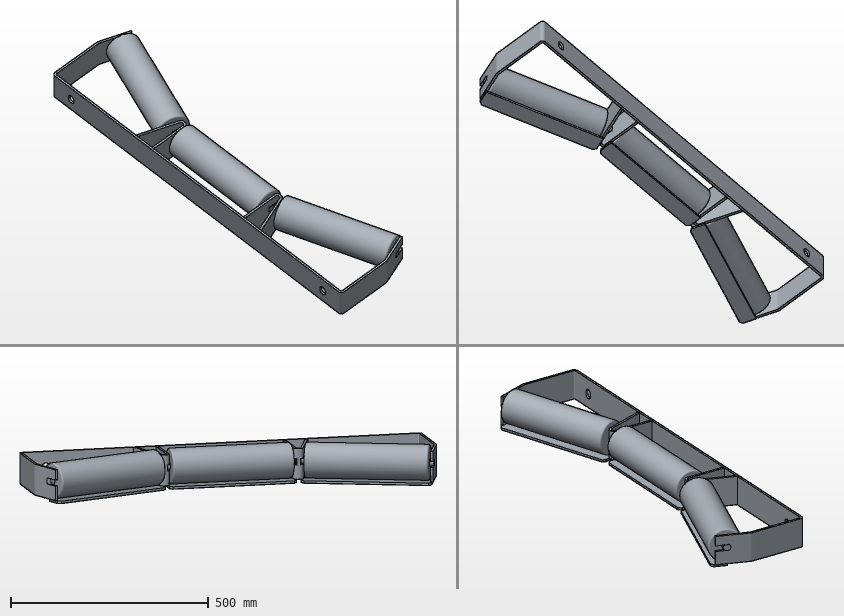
import cadquery as cq
import math

FRAME_LENGTH = 1050.0
STRIP_HEIGHT = 80.0
STRIP_THICKNESS = 6.0
BEND_RADIUS = 6.0
KNEE_RADIUS = 16.0
TROUGH_ANGLE = 20.0

ROLLER_DIAMETER = 91.0
ROLLER_LENGTH = 316.0
ROLLER_EDGE_ROUNDING = 4.0
SHAFT_DIAMETER = 20.0
SHAFT_FLAT_WIDTH = 16.0

SUPPORT_SPACING = 332.0
MIDDLE_ROLLER_Y = 100.0
OUTER_ROLLER_X = 344.0
OUTER_ROLLER_Y = 162.0
ARM_RISE = 29.0
BRACKET_TOP_Y = 123.0

MOUNTING_HOLE_X = 457.0
MOUNTING_HOLE_Z = 38.0
MOUNTING_HOLE_WIDTH = 19.0
MOUNTING_HOLE_HEIGHT = 25.0

PLATE_THICKNESS = 6.0
PLATE_FRONT = -2.0
PLATE_BACK = 41.0
PLATE_CORNER = 7.0

AXIS_Z = ROLLER_DIAMETER / 2
SUPPORT_OFFSET = SUPPORT_SPACING / 2
SHAFT_LENGTH = SUPPORT_SPACING + STRIP_THICKNESS
TILT_SIN = math.sin(math.radians(TROUGH_ANGLE))
TILT_COS = math.cos(math.radians(TROUGH_ANGLE))
TILT_TAN = TILT_SIN / TILT_COS

ROLLER_PLACES = [
    (-OUTER_ROLLER_X, OUTER_ROLLER_Y, -TROUGH_ANGLE),
    (0, MIDDLE_ROLLER_Y, 0),
    (OUTER_ROLLER_X, OUTER_ROLLER_Y, TROUGH_ANGLE),
]


def place(body, x, y, angle):
    """Turn a body built around the origin about Z, then move it to its roller position."""
    return body.rotate((0, 0, 0), (0, 0, 1), angle).translate((x, y, 0))


def mirrored(points):
    """Continue a run of points on -X with its mirror image on +X."""
    return points + [(-x, y) for x, y in reversed(points)]


def bent_strip(points, bend_radii):
    """Strip standing on Z = 0 whose middle follows the points, with one radius per bend."""
    middle = STRIP_HEIGHT / 2
    path = cq.Wire.makePolygon([cq.Vector(x, y, middle) for x, y in points])
    for (x, y), radius in zip(points[1:-1], bend_radii):
        corner = min(path.Vertices(), key=lambda v: math.hypot(v.X - x, v.Y - y))
        path = path.fillet(radius, [corner])
    start = cq.Plane(origin=path.startPoint(), xDir=(0, 0, 1), normal=path.tangentAt(0))
    return cq.Workplane(start).rect(STRIP_HEIGHT, STRIP_THICKNESS).sweep(cq.Workplane(path))


def rod(diameter, length):
    """Round bar on the roller axis, centred on the origin along X."""
    return cq.Workplane("YZ", origin=(-length / 2, 0, AXIS_Z)).circle(diameter / 2).extrude(length)


def flattened_shaft():
    """Full-length shaft with a flat above and a flat below."""
    flats = cq.Workplane("XY", origin=(0, 0, AXIS_Z)).box(SHAFT_LENGTH, SHAFT_DIAMETER, SHAFT_FLAT_WIDTH)
    return rod(SHAFT_DIAMETER, SHAFT_LENGTH).intersect(flats)


def shaft_slot():
    """Cutter for a slot, open towards +Y, that fits the flattened shaft."""
    opening = cq.Workplane("XY", origin=(0, 0, AXIS_Z)).box(
        SHAFT_LENGTH, 2 * ARM_RISE, SHAFT_FLAT_WIDTH, centered=(True, False, True)
    )
    return flattened_shaft().union(opening)


def make_frame(slots):
    """Back strip with two end arms that bend inwards to carry the outer roller ends."""
    side_x = -(FRAME_LENGTH - STRIP_THICKNESS) / 2
    back_y = STRIP_THICKNESS / 2
    hold_x = -OUTER_ROLLER_X - SUPPORT_OFFSET * TILT_COS
    hold_y = OUTER_ROLLER_Y + SUPPORT_OFFSET * TILT_SIN
    knee_y = hold_y - (hold_x - side_x) / TILT_TAN
    tip = (hold_x + ARM_RISE * TILT_SIN, hold_y + ARM_RISE * TILT_COS)
    left_half = [tip, (side_x, knee_y), (side_x, back_y)]
    frame = bent_strip(mirrored(left_half), [KNEE_RADIUS, BEND_RADIUS, BEND_RADIUS, KNEE_RADIUS])

    holes = (
        cq.Workplane("XZ", origin=(0, 0, MOUNTING_HOLE_Z))
        .pushPoints([(-MOUNTING_HOLE_X, 0), (MOUNTING_HOLE_X, 0)])
        .slot2D(MOUNTING_HOLE_HEIGHT, MOUNTING_HOLE_WIDTH, 90)
        .extrude(-STRIP_THICKNESS)
    )
    frame = frame.cut(holes)
    for slot in slots:
        frame = frame.cut(slot)
    return frame


def make_bracket(slots):
    """Bracket on the -X side: a sloping leg, a short top and an upright leg, standing on the back strip."""
    upright_x = -SUPPORT_OFFSET
    hold_x = -OUTER_ROLLER_X + SUPPORT_OFFSET * TILT_COS
    hold_y = OUTER_ROLLER_Y - SUPPORT_OFFSET * TILT_SIN
    slope_foot_x = hold_x - hold_y * TILT_TAN
    slope_top_x = hold_x + (BRACKET_TOP_Y - hold_y) * TILT_TAN
    bracket = bent_strip(
        [(slope_foot_x, 0), (slope_top_x, BRACKET_TOP_Y), (upright_x, BRACKET_TOP_Y), (upright_x, 0)],
        [BEND_RADIUS, BEND_RADIUS],
    )
    below_feet = cq.Workplane("XY").box(
        FRAME_LENGTH, 2 * STRIP_THICKNESS, STRIP_HEIGHT, centered=(True, True, False)
    )
    bracket = bracket.cut(below_feet)
    for slot in slots:
        bracket = bracket.cut(slot)
    return bracket


def make_roller():
    """Roller along X with its shaft, round up to the supports and flattened within them."""
    drum = rod(ROLLER_DIAMETER, ROLLER_LENGTH).faces("<X or >X").edges().fillet(ROLLER_EDGE_ROUNDING)
    round_shaft = rod(SHAFT_DIAMETER, SUPPORT_SPACING - STRIP_THICKNESS)
    return drum.union(round_shaft).union(flattened_shaft())


def make_plate():
    """Flat plate under a roller, with its two back corners cut off."""
    return (
        cq.Workplane("XY", origin=(0, PLATE_FRONT, -PLATE_THICKNESS))
        .box(SUPPORT_SPACING, PLATE_BACK - PLATE_FRONT, PLATE_THICKNESS, centered=(True, False, False))
        .edges("|Z and >Y")
        .chamfer(PLATE_CORNER)
    )


rollers = [place(make_roller(), *spot) for spot in ROLLER_PLACES]
plates = [place(make_plate(), *spot) for spot in ROLLER_PLACES]
left_slot, middle_slot, right_slot = [place(shaft_slot(), *spot) for spot in ROLLER_PLACES]

frame = make_frame([left_slot, right_slot])
left_bracket = make_bracket([left_slot, middle_slot])
brackets = [left_bracket, left_bracket.mirror("YZ")]

result = cq.Compound.makeCompound(
    [body.val() for body in [frame, *brackets, *rollers, *plates]]
)